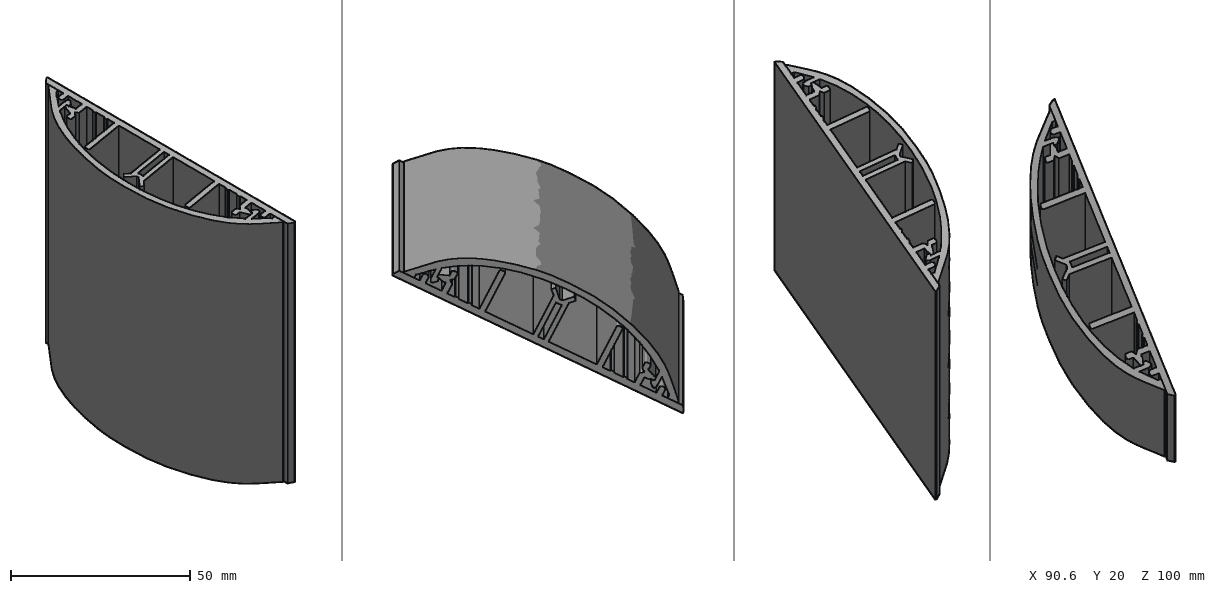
import cadquery as cq

length = 100.0
base_width = 90.6
total_depth = 20.0

plate_thickness = 2.1
plate_edge_height = 0.5
plate_edge_slant = 1.1
rooting = 0.5

rib_thickness = 1.8
tall_rib_x = 18.3
tall_rib_tip = 15.0
tall_rib_rounding = 0.5
stop_rib_x = 36.9
stop_rib_tip = 4.6
stop_rib_rounding = 0.8

bead_positions = (22.2, 26.3)
bead_width = 1.3
bead_height = 0.3
bead_chamfer = 0.2

wall = 1.9
cover_half_width = 42.8
cover_lip_depth = 2.5
cover_inner_half_width = 39.5
cover_inner_lip_depth = 3.1

outer_bulge = [
    (-cover_half_width, -cover_lip_depth),
    (-34.0, -10.8),
    (-20.0, -17.2),
    (-10.0, -19.4),
    (0, -total_depth),
]
inner_bulge = [
    (-35.3, -7.0),
    (-28.5, -11.6),
    (-16.0, -16.3),
    (0, wall - total_depth),
]

hook_outer_x = 35.3
hook_inner_x = 33.9
hook_head_x = 33.2
hook_top_width = 0.6
hook_top_depth = 3.1
hook_head_top = 4.1
hook_head_bottom = 5.1
hook_root_depth = 9.5

latch_x = 30.1
latch_tip = 8.9
latch_rounding = 0.5
barb_top = 4.7
barb_shoulder = 1.1
barb_tip_bottom = 6.0
barb_root_bottom = 7.1
notch_top = 5.2
notch_bottom = 6.8
notch_depth = 1.1

leg_outer_x = 2.4
leg_inner_x = 0.9
web_top = 13.3
web_bottom = 14.6
web_flat = 0.4
foot_root = 14.8
foot_tip_x = 3.8
foot_tip_top = 16.2
foot_end = 0.9

half_width = base_width / 2


def extrude_outline(points):
    return cq.Workplane("XY").polyline(points).close().extrude(length)


def mirrored_points(half):
    """The points of the other half, from the middle outward, without the middle point."""
    return [(-x, y) for x, y in reversed(half[:-1])]


def both_sides(solid):
    return solid.union(solid.mirror("YZ"))


def rounded_rib(x, tip, rounding):
    height = tip - plate_thickness + rooting
    rib = cq.Workplane("XY").box(rib_thickness, height, length, centered=(True, False, False))
    return rib.edges("|Z and <Y").fillet(rounding).translate((x, -tip, 0))


def bead(x):
    height = bead_height + rooting
    strip = cq.Workplane("XY").box(bead_width, height, length, centered=(True, False, False))
    strip = strip.edges("|Z and <Y").chamfer(bead_chamfer)
    return strip.translate((x, -plate_thickness - bead_height, 0))


def plate():
    half = [
        (-half_width, 0),
        (-half_width, -plate_edge_height),
        (-half_width + plate_edge_slant, -plate_thickness),
        (0, -plate_thickness),
    ]
    return extrude_outline(half + mirrored_points(half))


def latch():
    stem_outer_x = latch_x + rib_thickness / 2
    stem_inner_x = latch_x - rib_thickness / 2
    stem = rounded_rib(latch_x, latch_tip, latch_rounding)
    barb = extrude_outline([
        (latch_x, -barb_top),
        (stem_outer_x + barb_shoulder, -barb_top),
        (hook_head_x, -hook_head_bottom),
        (hook_inner_x, -hook_head_bottom),
        (hook_inner_x, -barb_tip_bottom),
        (stem_outer_x, -barb_root_bottom),
        (latch_x, -barb_root_bottom),
    ])
    notch = extrude_outline([
        (stem_inner_x, -notch_top),
        (stem_inner_x + notch_depth, -(notch_top + notch_bottom) / 2),
        (stem_inner_x, -notch_bottom),
    ])
    return stem.union(barb).cut(notch)


def channel_half():
    leg_root = plate_thickness - rooting
    return extrude_outline([
        (0, -web_top),
        (leg_inner_x, -web_top),
        (leg_inner_x, -leg_root),
        (leg_outer_x, -leg_root),
        (leg_outer_x, -foot_root),
        (foot_tip_x, -foot_tip_top),
        (foot_tip_x - foot_end, -foot_tip_top - foot_end),
        (web_flat, -web_bottom),
        (0, -web_bottom),
    ])


def build_base():
    side = channel_half()
    side = side.union(rounded_rib(tall_rib_x, tall_rib_tip, tall_rib_rounding))
    side = side.union(rounded_rib(stop_rib_x, stop_rib_tip, stop_rib_rounding))
    side = side.union(latch())
    for x in bead_positions:
        side = side.union(bead(x))
    return plate().union(both_sides(side))


def cover_wall():
    level = (1, 0)
    inner_far_half = mirrored_points(inner_bulge)
    return (
        cq.Workplane("XY")
        .moveTo(-cover_half_width, -plate_thickness)
        .lineTo(*outer_bulge[0])
        .spline(outer_bulge[1:], tangents=[(1, -1), level], includeCurrent=True)
        .spline(mirrored_points(outer_bulge), tangents=[level, (1, 1)], includeCurrent=True)
        .lineTo(cover_half_width, -plate_thickness)
        .lineTo(cover_inner_half_width, -plate_thickness)
        .lineTo(cover_inner_half_width, -cover_inner_lip_depth)
        .lineTo(*inner_far_half[-1])
        .spline(inner_far_half[-2::-1] + inner_bulge[::-1], includeCurrent=True)
        .lineTo(-cover_inner_half_width, -cover_inner_lip_depth)
        .lineTo(-cover_inner_half_width, -plate_thickness)
        .close()
        .extrude(length)
    )


def hook():
    top_center_x = (hook_outer_x + hook_inner_x) / 2
    return extrude_outline([
        (hook_outer_x, -hook_root_depth),
        (hook_outer_x, -hook_head_top),
        (top_center_x + hook_top_width / 2, -hook_top_depth),
        (top_center_x - hook_top_width / 2, -hook_top_depth),
        (hook_head_x, -hook_head_top),
        (hook_head_x, -hook_head_bottom),
        (hook_inner_x, -hook_head_bottom),
        (hook_inner_x, -hook_root_depth),
    ])


def build_cover():
    return cover_wall().union(both_sides(hook()))


base = build_base()
cover = build_cover()
result = cq.Compound.makeCompound([base.val(), cover.val()])